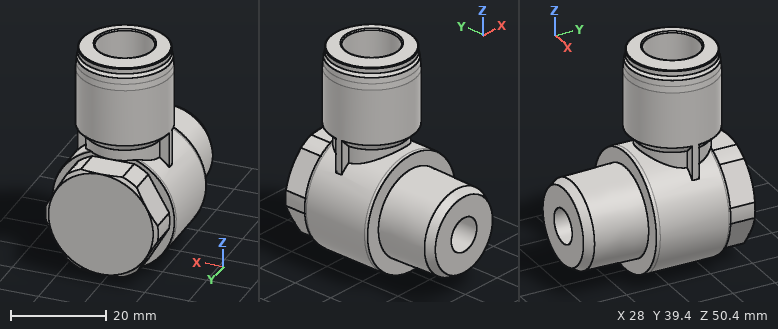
import cadquery as cq
import math


body_radius = 14.0
body_back = 6.5
body_front = -11.25
body_edge_drop = 0.15
body_back_edge = 0.55
body_front_edge = 0.8

hex_across_flats = 23.8
hex_corner_radius = 12.8
hex_back = 13.4
hex_chamfer_length = 0.5
hex_end_radius = 11.85

plug_tip = -26.0
plug_root_radius = 10.45
plug_end_radius = 10.2
plug_tip_radius = 9.0
plug_chamfer_length = 2.0

socket_radius = 20.8 / 2
socket_top_radius = 20.3 / 2
socket_bottom = 17.55
socket_taper_start = 30.7
socket_step = 32.15
socket_step_radius = 10.3
socket_top = 33.45
neck_radius = 8.2
neck_top = socket_bottom - (socket_radius - neck_radius)
neck_overhang_bottom = 12.9

collar_top = 36.4
collar_radius = 19.8 / 2
collar_neck_radius = 7.3
collar_bottom = 34.35
collar_rim = 35.7
collar_edge = 0.2
collar_fillet = 0.25
collar_mouth_radius = 6.6

rib_width = 1.6
bore_diameter = 8.0
tube_diameter = 12.6
tube_stop = socket_bottom


def turned_y(points):
    """Turn a (radius, y) outline about the Y axis."""
    return cq.Workplane("XY").polyline(points).close().revolve(360, (0, 0, 0), (0, 1, 0))


def turned_z(points):
    """Turn a (radius, z) outline about the Z axis."""
    return cq.Workplane("XZ").polyline(points).close().revolve(360, (0, 0, 0), (0, 1, 0))


def body():
    edge_radius = body_radius - body_edge_drop
    return turned_y([
        (0, body_front),
        (edge_radius, body_front),
        (body_radius, body_front + body_front_edge),
        (body_radius, body_back - body_back_edge),
        (edge_radius, body_back),
        (0, body_back),
    ])


def hex_head():
    corner_diameter = hex_across_flats / math.cos(math.radians(30))
    prism = (
        cq.Workplane("XZ")
        .polygon(6, corner_diameter)
        .extrude(-hex_back)
    )
    envelope = turned_y([
        (0, 0),
        (hex_corner_radius, 0),
        (hex_corner_radius, hex_back - hex_chamfer_length),
        (hex_end_radius, hex_back),
        (0, hex_back),
    ])
    return prism.intersect(envelope)


def plug():
    return turned_y([
        (0, body_front),
        (plug_root_radius, body_front),
        (plug_end_radius, plug_tip + plug_chamfer_length),
        (plug_tip_radius, plug_tip),
        (0, plug_tip),
    ])


def socket():
    return turned_z([
        (0, neck_top),
        (neck_radius, neck_top),
        (socket_radius, socket_bottom),
        (socket_radius, socket_taper_start),
        (socket_step_radius, socket_step),
        (socket_top_radius, socket_top),
        (0, socket_top),
    ])


def neck():
    full = cq.Workplane("XY").circle(neck_radius).extrude(neck_top)
    clearance = cq.Workplane("XY").box(
        2 * neck_radius, neck_radius, neck_overhang_bottom, centered=(True, False, False)
    ).translate((0, body_back, 0))
    return full.cut(clearance)


def collar():
    return turned_z([
        (0, socket_top),
        (collar_neck_radius, socket_top),
        (collar_neck_radius, collar_bottom - collar_fillet),
        (collar_neck_radius + collar_fillet, collar_bottom),
        (collar_radius, collar_bottom),
        (collar_radius, collar_rim - collar_edge),
        (collar_radius - collar_edge, collar_rim),
        (collar_mouth_radius, collar_top),
        (0, collar_top),
    ])


def ribs():
    """One web across the neck forms the rib on each side."""
    return cq.Workplane("XY").box(
        2 * socket_radius, rib_width, socket_bottom, centered=(True, True, False)
    ).intersect(cq.Workplane("XY").circle(socket_radius).extrude(socket_bottom))


def passages():
    bore_radius = bore_diameter / 2
    tube_radius = tube_diameter / 2
    run = cq.Workplane("XZ").circle(bore_radius).extrude(-plug_tip)
    riser = cq.Workplane("XY").circle(bore_radius).extrude(collar_top)
    corner = cq.Workplane("XY").sphere(bore_radius)
    mouth_chamfer = collar_mouth_radius - tube_radius
    tube = turned_z([
        (0, tube_stop),
        (tube_radius, tube_stop),
        (tube_radius, collar_top - mouth_chamfer),
        (collar_mouth_radius, collar_top),
        (0, collar_top),
    ])
    return run.union(riser).union(corner).union(tube)


result = body()
for feature in (hex_head(), plug(), neck(), socket(), ribs(), collar()):
    result = result.union(feature)
result = result.cut(passages())